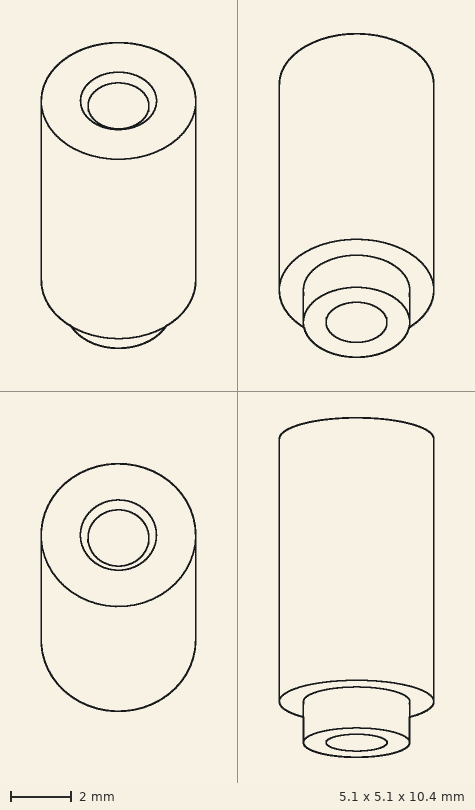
import cadquery as cq

total_height = 10.4
body_diameter = 5.1
spigot_diameter = 3.5
spigot_height = 1.4
bore_diameter = 2.01
bore_chamfer = 0.25

body_height = total_height - spigot_height

spigot = cq.Workplane("XY").circle(spigot_diameter / 2).extrude(spigot_height)
spacer = spigot.faces(">Z").workplane().circle(body_diameter / 2).extrude(body_height)

bore = cq.Workplane("XY").circle(bore_diameter / 2).extrude(total_height)
spacer = spacer.cut(bore)

bore_mouth = cq.selectors.RadiusNthSelector(0)
result = spacer.faces(">Z").edges(bore_mouth).chamfer(bore_chamfer)